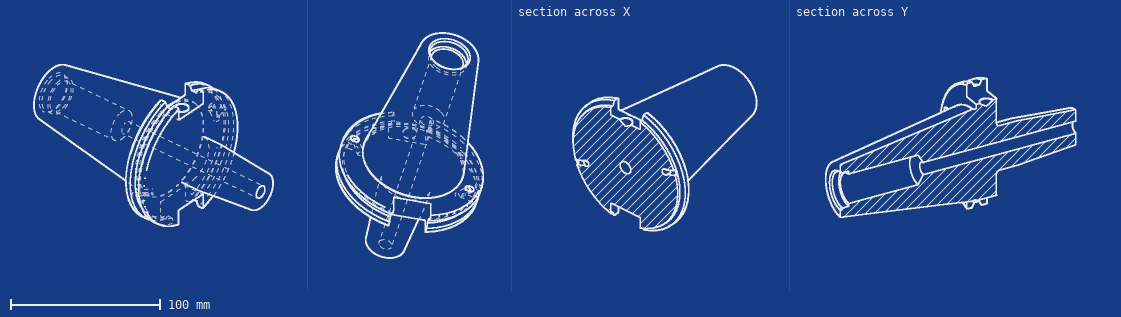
import cadquery as cq
import math


GAUGE_DIA = 69.85
TAPER_LENGTH = 101.6
TAPER_PER_LENGTH = 7 / 24
SHANK_END_FILLET = 1

NECK_DIA = 69.25
NECK_START = 0.8
NECK_FILLET = 0.6

FLANGE_DIA = 98.06
FLANGE_START = 3.18
FLANGE_END = 19.05
FLANGE_FILLET = 1

GROOVE_CENTER = (FLANGE_START + FLANGE_END) / 2
GROOVE_TOP_WIDTH = 7.2
GROOVE_FLOOR_WIDTH = 4
GROOVE_FLOOR_DIA = 91.4

SLOT_WIDTH = 25.44
SLOT_FILLET = 0.6
UPPER_SLOT_FLOOR = 37.7
LOWER_SLOT_FLOOR = 35.3
DIMPLE_DIA = 9.53
DIMPLE_RIM_DEPTH = 0.5
DRILL_POINT_ANGLE = 118

NOSE_DIA = 34
NOSE_TIP_DIA = 27
NOSE_END = 80
NOSE_HALF_ANGLE = 4.5
NOSE_ROOT_FILLET = 2
NOSE_TIP_FILLET = 1

BORE_MOUTH_DIA = 28.5
BORE_MOUTH_DEPTH = 1.5
PILOT_DIA = 26.2
PILOT_DEPTH = 6.5
THREAD_BORE_DIA = 21.97
THREAD_BORE_DEPTH = 60
COOLANT_BORE_DIA = 8.92
BORE_OVERRUN = 1

DUCT_ANGLE = 20
DUCT_RADIUS = 41.9
DUCT_TILT = 33
DUCT_MOUTH_DIA = 5
DUCT_MOUTH_DEPTH = 1.65
DUCT_DIA = 4.2
DUCT_DEPTH = 12
PLUG_SEAT_DIA = 4.13
PLUG_SEAT_DEPTH = 0.5
PLUG_HOLE_DIA = 3.24
PLUG_HOLE_DEPTH = 8

SHANK_END = -TAPER_LENGTH


def cone_depth(start_dia, end_dia=0.0):
    """Axial length of a drill-point cone between two diameters."""
    return (start_dia - end_dia) / 2 / math.tan(math.radians(DRILL_POINT_ANGLE / 2))


def revolve_about_x(profile):
    return profile.revolve(360, (0, 0, 0), (1, 0, 0))


def make_shank():
    end_radius = (GAUGE_DIA - TAPER_LENGTH * TAPER_PER_LENGTH) / 2
    neck_radius = NECK_DIA / 2
    profile = (
        cq.Workplane("XY")
        .moveTo(SHANK_END, 0)
        .lineTo(SHANK_END, end_radius)
        .lineTo(0, GAUGE_DIA / 2)
        .lineTo(NECK_START, neck_radius)
        .lineTo(FLANGE_START, neck_radius)
        .lineTo(FLANGE_START, 0)
        .close()
    )
    shank = revolve_about_x(profile)
    return shank.faces("<X").edges().fillet(SHANK_END_FILLET)


def make_flange():
    length = FLANGE_END - FLANGE_START
    flange = cq.Workplane("YZ", origin=(FLANGE_START, 0, 0)).circle(FLANGE_DIA / 2).extrude(length)
    flange = flange.edges().fillet(FLANGE_FILLET)
    return flange.cut(make_groove())


def make_groove():
    """Ring with a V-shaped section; its sides keep their slope beyond the flange rim."""
    floor_radius = GROOVE_FLOOR_DIA / 2
    depth = FLANGE_DIA / 2 - floor_radius
    side_run = (GROOVE_TOP_WIDTH - GROOVE_FLOOR_WIDTH) / 2
    reach = 2
    outer_half_width = GROOVE_FLOOR_WIDTH / 2 + reach * side_run
    profile = (
        cq.Workplane("XY")
        .moveTo(GROOVE_CENTER - GROOVE_FLOOR_WIDTH / 2, floor_radius)
        .lineTo(GROOVE_CENTER + GROOVE_FLOOR_WIDTH / 2, floor_radius)
        .lineTo(GROOVE_CENTER + outer_half_width, floor_radius + reach * depth)
        .lineTo(GROOVE_CENTER - outer_half_width, floor_radius + reach * depth)
        .close()
    )
    return revolve_about_x(profile)


def make_nose():
    nose_radius = NOSE_DIA / 2
    tip_radius = NOSE_TIP_DIA / 2
    cone_length = (nose_radius - tip_radius) / math.tan(math.radians(NOSE_HALF_ANGLE))
    profile = (
        cq.Workplane("XY")
        .moveTo(FLANGE_END, 0)
        .lineTo(FLANGE_END, nose_radius)
        .lineTo(NOSE_END - cone_length, nose_radius)
        .lineTo(NOSE_END, tip_radius)
        .lineTo(NOSE_END, 0)
        .close()
    )
    nose = revolve_about_x(profile)
    return nose.faces(">X").edges().fillet(NOSE_TIP_FILLET)


def make_root_fillet(face_x, direction, shaft_radius, fillet_radius):
    """Ring that rounds the corner between a shaft and a flange face; direction is +1 or -1 along X."""
    arc_middle = 1 - math.sqrt(0.5)
    profile = (
        cq.Workplane("XY")
        .moveTo(face_x, shaft_radius)
        .lineTo(face_x, shaft_radius + fillet_radius)
        .threePointArc(
            (face_x + direction * fillet_radius * arc_middle, shaft_radius + fillet_radius * arc_middle),
            (face_x + direction * fillet_radius, shaft_radius),
        )
        .close()
    )
    return revolve_about_x(profile)


def make_body():
    body = make_shank().union(make_flange()).union(make_nose())
    body = body.union(make_root_fillet(FLANGE_START, -1, NECK_DIA / 2, NECK_FILLET))
    return body.union(make_root_fillet(FLANGE_END, 1, NOSE_DIA / 2, NOSE_ROOT_FILLET))


def make_bore():
    mouth_end = SHANK_END + BORE_MOUTH_DEPTH
    pilot_end = SHANK_END + PILOT_DEPTH
    thread_end = SHANK_END + THREAD_BORE_DEPTH
    cone_end = thread_end + cone_depth(THREAD_BORE_DIA, COOLANT_BORE_DIA)
    profile = (
        cq.Workplane("XY")
        .moveTo(SHANK_END, 0)
        .lineTo(SHANK_END, BORE_MOUTH_DIA / 2)
        .lineTo(mouth_end, PILOT_DIA / 2)
        .lineTo(pilot_end, PILOT_DIA / 2)
        .lineTo(pilot_end, THREAD_BORE_DIA / 2)
        .lineTo(thread_end, THREAD_BORE_DIA / 2)
        .lineTo(cone_end, COOLANT_BORE_DIA / 2)
        .lineTo(NOSE_END + BORE_OVERRUN, COOLANT_BORE_DIA / 2)
        .lineTo(NOSE_END + BORE_OVERRUN, 0)
        .close()
    )
    return revolve_about_x(profile)


def make_slot(floor):
    """Drive slot through the flange on the +Z side, with rounded floor corners."""
    length = FLANGE_END - FLANGE_START
    depth = FLANGE_DIA / 2 - floor
    slot = cq.Workplane("XY", origin=(FLANGE_START, 0, floor))
    slot = slot.box(length, SLOT_WIDTH, depth, centered=(False, True, False))
    return slot.faces("<Z").edges("|X").fillet(SLOT_FILLET)


def make_dimple():
    """Shallow drilled dimple with a pointed bottom, in the floor of the upper slot."""
    down = cq.Vector(0, 0, -1)
    rim = cq.Vector((FLANGE_START + FLANGE_END) / 2, 0, UPPER_SLOT_FLOOR)
    cylinder = cq.Solid.makeCylinder(DIMPLE_DIA / 2, DIMPLE_RIM_DEPTH, rim, down)
    point = cq.Solid.makeCone(
        DIMPLE_DIA / 2, 0, cone_depth(DIMPLE_DIA), rim + down * DIMPLE_RIM_DEPTH, down
    )
    return cq.Workplane(cylinder).union(cq.Workplane(point))


def make_duct():
    """Tilted stepped duct that opens on the shank side of the flange, on the +Y side."""
    tilt = math.radians(DUCT_TILT)
    direction = cq.Vector(math.cos(tilt), -math.sin(tilt), 0)
    mouth = cq.Vector(FLANGE_START, DUCT_RADIUS, 0)
    lead_in = DUCT_MOUTH_DIA
    wide = cq.Solid.makeCylinder(
        DUCT_MOUTH_DIA / 2, lead_in + DUCT_MOUTH_DEPTH, mouth - direction * lead_in, direction
    )
    narrow = cq.Solid.makeCylinder(DUCT_DIA / 2, DUCT_DEPTH, mouth, direction)
    return cq.Workplane(wide).union(cq.Workplane(narrow))


def make_plug_hole():
    """Radial stepped hole from the groove floor into the duct, on the +Y side."""
    inward = cq.Vector(0, -1, 0)
    outer = cq.Vector(GROOVE_CENTER, FLANGE_DIA / 2, 0)
    rim_drop = (FLANGE_DIA - GROOVE_FLOOR_DIA) / 2
    seat = cq.Solid.makeCylinder(PLUG_SEAT_DIA / 2, rim_drop + PLUG_SEAT_DEPTH, outer, inward)
    hole = cq.Solid.makeCylinder(PLUG_HOLE_DIA / 2, rim_drop + PLUG_HOLE_DEPTH, outer, inward)
    return cq.Workplane(seat).union(cq.Workplane(hole))


def turn(shape, angle):
    return shape.rotate((0, 0, 0), (1, 0, 0), angle)


result = make_body().cut(make_bore())
result = result.cut(make_slot(UPPER_SLOT_FLOOR))
result = result.cut(turn(make_slot(LOWER_SLOT_FLOOR), 180))
result = result.cut(make_dimple())
for angle in (DUCT_ANGLE, DUCT_ANGLE + 180):
    result = result.cut(turn(make_duct(), angle))
    result = result.cut(turn(make_plug_hole(), angle))